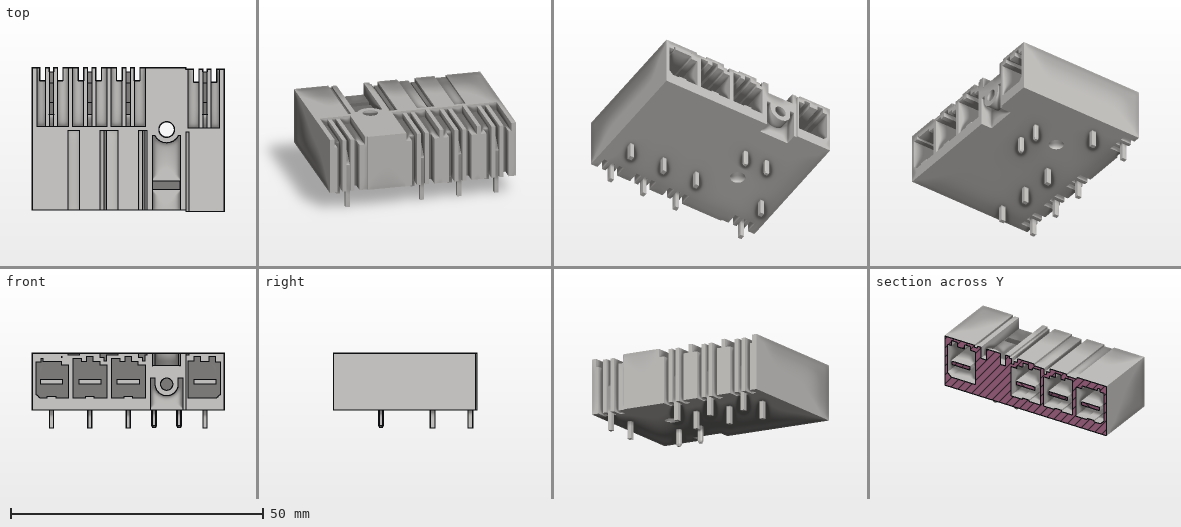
import cadquery as cq
import math

LENGTH = 38.1
DEPTH = 28.25
HEIGHT = 11.3
PITCH = 7.62
SHIFT = 0.3
END_X = 4 * PITCH
MAIN_POLES = (0, 1, 2)
END_POLE = 4
FLANGE_X = 3.5 * PITCH

CAVITY_DEPTH = 15.25
CAVITY_FLOOR = 2.4
CAVITY_SHOULDER = 8.95
CAVITY_CEILING = 9.65
CAVITY_RAISED = 10.2
KEYWAY_TOP = 10.63
CAVITY_RIGHT = 7.2
SHOULDER_X = 5.8
CORNER = 0.8
RIDGE_LEFT = 2.97
RIDGE_RIGHT = 4.7
RIDGE_TOP = 2.7

GROOVE_LENGTH = 15.77
GROOVE_SHALLOW = 10.9
GROOVE_STEP = 10.48
GROOVE_DEEP = 9.75
GROOVE_LEFT = 5.83
GROOVE_DEEP_LEFT = 6.63
GROOVE_WING_LEFT = 7.1
WIDE_WING_RIGHT = 9.4
NARROW_WING_RIGHT = 7.55
END_GROOVE_WIDTH = 0.57

MARK_SIZE = 0.1
MARK_DEPTH = 0.4

BAY_LENGTH = 11.62
BAY_FLOOR = 9.6
BAY_LEFT = 0.42
BAY_RIGHT = 7.25
FIRST_BAY_LEFT = 1.0
LAST_BAY_RIGHT = 6.65
NOTCH_HALF_WIDTH = 2.3
NOTCH_LENGTH = 2.55
FIN_HALF_SPAN = 1.22
FIN_TOP = 10.95

CONTACT_THICKNESS = 0.85
BLADE_WIDTH = 4.4
BLADE_TIP = 5.35
BLADE_BOTTOM = 5.22
BLADE_TOP = 6.1
PLATE_BOTTOM = 2.4
PLATE_TOP = 7.62
PLATE_REAR = DEPTH - 0.85
PLATE_FRONT = DEPTH - 9.35
PLATE_STEP = DEPTH - 6.95
PLATE_BEVEL = 2.25
PIN_WIDTH = 1.0
PIN_BOTTOM = -3.6

POCKET_HALF_WIDTH = 2.8
POCKET_FLOOR = 8.8
POCKET_BACK = 14.75
SCREW_HOLE_Y = 15.95
SCREW_HOLE_DIAMETER = 3.05
SCREW_BOSS_RADIUS = 2.63
NUT_SLOT_FRONT = 4.1
NUT_SLOT_BACK = 5.7
NUT_SLOT_FLOOR = 2.85
NUT_SLOT_GAP = 0.15
RECESS_HALF_WIDTH = 3.2
RECESS_DEPTH = 2.45
RECESS_TOP = 6.35
FRONT_HOLE_Z = 5.15
FRONT_HOLE_DIAMETER = 2.45
FRONT_BOSS_RADIUS = 2.3

ANCHOR_WIDTH = 1.0
ANCHOR_EDGE_BEVEL = 0.2
ANCHOR_TIP_INSET = 0.2
ANCHOR_TIP_LENGTH = 0.42
ANCHOR_BOTTOM = -3.43
ANCHOR_EMBED = 1.9
ANCHOR_OFFSET = 2.48
ANCHOR_Y = 9.15


def block(x0, x1, y0, y1, z0, z1):
    """Box between two opposite corners."""
    return cq.Workplane("XY").box(x1 - x0, y1 - y0, z1 - z0, centered=False).translate((x0, y0, z0))


def front_prism(points, y0, y1):
    """Prism along +Y from an outline of (x, z) points."""
    return cq.Workplane("XZ", origin=(0, y0, 0)).polyline(points).close().extrude(y0 - y1)


def pole_front(pole):
    """Y of the housing front at a pole."""
    return -SHIFT if pole == END_POLE else 0.0


def floor_ridge():
    """Floor outline points from right to left over the guide ridge."""
    return [
        (CAVITY_RIGHT, CAVITY_FLOOR),
        (RIDGE_RIGHT, CAVITY_FLOOR),
        (RIDGE_RIGHT, RIDGE_TOP),
        (RIDGE_LEFT, RIDGE_TOP),
        (RIDGE_LEFT, CAVITY_FLOOR),
    ]


def right_shoulder():
    """Ceiling outline points from the ceiling down to the low right shoulder."""
    return [
        (SHOULDER_X, CAVITY_CEILING),
        (SHOULDER_X, CAVITY_SHOULDER),
        (CAVITY_RIGHT, CAVITY_SHOULDER),
    ]


def first_cavity_outline():
    left = 0.72
    slit_left, slit_right = 1.7, 2.15
    left_ceiling = 9.52
    return [
        (left, left_ceiling),
        (slit_left, left_ceiling),
        (slit_left, CAVITY_RAISED),
        (slit_right, CAVITY_RAISED),
        (slit_right, CAVITY_CEILING),
        *right_shoulder(),
        *floor_ridge(),
        (left + CORNER, CAVITY_FLOOR),
        (left, CAVITY_FLOOR + CORNER),
    ]


def middle_cavity_outline():
    left = 0.45
    raised_right = 2.15
    key_left, key_right = 3.15, 4.42
    return [
        (left, CAVITY_RAISED),
        (raised_right, CAVITY_RAISED),
        (raised_right, CAVITY_CEILING),
        (key_left, CAVITY_CEILING),
        (key_left, KEYWAY_TOP),
        (key_right, KEYWAY_TOP),
        (key_right, CAVITY_CEILING),
        *right_shoulder(),
        *floor_ridge(),
        (left, CAVITY_FLOOR),
    ]


def end_cavity_outline():
    left, right = 0.4, 6.9
    left_ceiling, right_ceiling = 9.75, 9.52
    first_key_left, first_key_right = 1.65, 2.95
    second_key_left, second_key_right = 4.6, 5.9
    return [
        (left, left_ceiling),
        (first_key_left, left_ceiling),
        (first_key_left, KEYWAY_TOP),
        (first_key_right, KEYWAY_TOP),
        (first_key_right, CAVITY_CEILING),
        (second_key_left, CAVITY_CEILING),
        (second_key_left, KEYWAY_TOP),
        (second_key_right, KEYWAY_TOP),
        (second_key_right, right_ceiling),
        (right, right_ceiling),
        (right, CAVITY_FLOOR + CORNER),
        (right - CORNER, CAVITY_FLOOR),
        (left, CAVITY_FLOOR),
    ]


def cavity(pole):
    """Space for the plug at one pole."""
    if pole == 0:
        outline = first_cavity_outline()
    elif pole == END_POLE:
        outline = end_cavity_outline()
    else:
        outline = middle_cavity_outline()
    front = pole_front(pole)
    return front_prism(outline, front, front + CAVITY_DEPTH).translate((pole * PITCH, 0, 0))


def stepped_groove(wing_right):
    """Top groove between two poles with a stepped, deeper left part."""
    outline = [
        (GROOVE_LEFT, HEIGHT),
        (GROOVE_LEFT, GROOVE_STEP),
        (GROOVE_DEEP_LEFT, GROOVE_STEP),
        (GROOVE_DEEP_LEFT, GROOVE_DEEP),
        (GROOVE_WING_LEFT, GROOVE_DEEP),
        (GROOVE_WING_LEFT, GROOVE_SHALLOW),
        (wing_right, GROOVE_SHALLOW),
        (wing_right, HEIGHT),
    ]
    return front_prism(outline, 0, GROOVE_LENGTH)


def top_grooves():
    plain = block(GROOVE_WING_LEFT, WIDE_WING_RIGHT, 0, GROOVE_LENGTH, GROOVE_SHALLOW, HEIGHT)
    second = stepped_groove(WIDE_WING_RIGHT).translate((PITCH, 0, 0))
    third = stepped_groove(NARROW_WING_RIGHT).translate((2 * PITCH, 0, 0))
    end = block(END_X, END_X + END_GROOVE_WIDTH, -SHIFT, GROOVE_LENGTH - SHIFT, GROOVE_SHALLOW, HEIGHT)
    return [plain, second, third, end]


def front_mark():
    """Tiny square pit level with the step of the grooves."""
    right = GROOVE_LEFT + MARK_SIZE
    return block(GROOVE_LEFT, right, 0, MARK_DEPTH, GROOVE_STEP, GROOVE_STEP + MARK_SIZE)


def rear_bay(pole):
    """Space of one rear bay and its notch, less the pair of fins."""
    centre = PITCH / 2
    back = pole_front(pole) + DEPTH
    left = FIRST_BAY_LEFT if pole == 0 else BAY_LEFT
    right = LAST_BAY_RIGHT if pole == END_POLE else BAY_RIGHT
    bay = block(left, right, back - BAY_LENGTH, back, BAY_FLOOR, HEIGHT)
    notch = block(centre - NOTCH_HALF_WIDTH, centre + NOTCH_HALF_WIDTH, back - NOTCH_LENGTH, back, 0, HEIGHT)
    fins = block(centre - FIN_HALF_SPAN, centre + FIN_HALF_SPAN, back - BAY_LENGTH, back, 0, FIN_TOP)
    half_gap = CONTACT_THICKNESS / 2
    gap = block(centre - half_gap, centre + half_gap, back - BAY_LENGTH, back, BAY_FLOOR, HEIGHT)
    rear_gap = block(centre - half_gap, centre + half_gap, back - NOTCH_LENGTH, back, 0, HEIGHT)
    plate_slot = block(centre - half_gap, centre + half_gap, PLATE_FRONT, back, PLATE_BOTTOM, HEIGHT)
    space = bay.union(notch).cut(fins).union(gap).union(rear_gap).union(plate_slot)
    return space.translate((pole * PITCH, 0, 0))


def contact(pole):
    """Blade, upright plate and two solder pins of one pole."""
    centre = (pole + 0.5) * PITCH
    half = CONTACT_THICKNESS / 2
    half_blade = BLADE_WIDTH / 2
    blade = block(
        centre - half_blade, centre + half_blade, BLADE_TIP, PLATE_FRONT, BLADE_BOTTOM, BLADE_TOP
    )
    outline = [
        (PLATE_FRONT, BLADE_TOP),
        (PLATE_STEP, BLADE_TOP),
        (PLATE_STEP, PLATE_TOP),
        (PLATE_REAR - PLATE_BEVEL, PLATE_TOP),
        (PLATE_REAR, PLATE_TOP - PLATE_BEVEL),
        (PLATE_REAR, PIN_BOTTOM),
        (PLATE_REAR - PIN_WIDTH, PIN_BOTTOM),
        (PLATE_REAR - PIN_WIDTH, PLATE_BOTTOM),
        (PLATE_FRONT + PIN_WIDTH, PLATE_BOTTOM),
        (PLATE_FRONT + PIN_WIDTH, PIN_BOTTOM),
        (PLATE_FRONT, PIN_BOTTOM),
    ]
    plate = cq.Workplane("YZ", origin=(centre - half, 0, 0)).polyline(outline).close()
    return plate.extrude(CONTACT_THICKNESS).union(blade)


def anchor(x):
    """Solder anchor: a square pin with bevelled edges and a tapered tip."""
    half = ANCHOR_WIDTH / 2
    flat = half - ANCHOR_EDGE_BEVEL
    outline = [
        (-flat, -half),
        (flat, -half),
        (half, -flat),
        (half, flat),
        (flat, half),
        (-flat, half),
        (-half, flat),
        (-half, -flat),
    ]
    shoulder = ANCHOR_BOTTOM + ANCHOR_TIP_LENGTH
    section = cq.Workplane("XY", origin=(x, ANCHOR_Y, shoulder)).polyline(outline).close()
    bar = section.extrude(ANCHOR_EMBED - shoulder)
    tip_base = bar.faces("<Z").workplane().add(bar.faces("<Z").wires()).toPending()
    taper = math.degrees(math.atan(ANCHOR_TIP_INSET / ANCHOR_TIP_LENGTH))
    return tip_base.extrude(ANCHOR_TIP_LENGTH, taper=taper)


def top_pocket():
    """Open pocket above the screw, around the boss of the vertical hole."""
    left = FLANGE_X - POCKET_HALF_WIDTH
    right = FLANGE_X + POCKET_HALF_WIDTH
    boss = (
        cq.Workplane("XY", origin=(FLANGE_X, SCREW_HOLE_Y, POCKET_FLOOR))
        .circle(SCREW_BOSS_RADIUS)
        .extrude(HEIGHT - POCKET_FLOOR)
    )
    pocket = block(left, right, 0, POCKET_BACK, POCKET_FLOOR, HEIGHT).cut(boss)
    nut_slot = block(left, right - NUT_SLOT_GAP, NUT_SLOT_FRONT, NUT_SLOT_BACK, NUT_SLOT_FLOOR, HEIGHT)
    return pocket.union(nut_slot)


def front_recess():
    """Recess in the flange front, open below, around a boss with a round underside."""
    recess = block(
        FLANGE_X - RECESS_HALF_WIDTH, FLANGE_X + RECESS_HALF_WIDTH, 0, RECESS_DEPTH, 0, RECESS_TOP
    )
    boss = (
        cq.Workplane("XZ", origin=(FLANGE_X, 0, 0))
        .moveTo(-FRONT_BOSS_RADIUS, RECESS_TOP)
        .lineTo(-FRONT_BOSS_RADIUS, FRONT_HOLE_Z)
        .threePointArc((0, FRONT_HOLE_Z - FRONT_BOSS_RADIUS), (FRONT_BOSS_RADIUS, FRONT_HOLE_Z))
        .lineTo(FRONT_BOSS_RADIUS, RECESS_TOP)
        .close()
        .extrude(-RECESS_DEPTH)
    )
    return recess.cut(boss)


def flange_holes():
    """Vertical through hole and the front hole that runs into the nut slot."""
    vertical = (
        cq.Workplane("XY", origin=(FLANGE_X, SCREW_HOLE_Y, 0))
        .circle(SCREW_HOLE_DIAMETER / 2)
        .extrude(HEIGHT)
    )
    front = (
        cq.Workplane("XZ", origin=(FLANGE_X, 0, FRONT_HOLE_Z))
        .circle(FRONT_HOLE_DIAMETER / 2)
        .extrude(-NUT_SLOT_BACK)
    )
    return [vertical, front]


poles = [*MAIN_POLES, END_POLE]
contacts = [contact(pole) for pole in poles]
anchors = [anchor(FLANGE_X + side * ANCHOR_OFFSET) for side in (-1, 1)]

housing = block(0, END_X, 0, DEPTH, 0, HEIGHT)
housing = housing.union(block(END_X, LENGTH, -SHIFT, DEPTH - SHIFT, 0, HEIGHT))
for space in [*top_grooves(), front_mark(), top_pocket(), front_recess(), *flange_holes()]:
    housing = housing.cut(space)
for pole in poles:
    housing = housing.cut(cavity(pole)).cut(rear_bay(pole))
for insert in [*contacts, *anchors]:
    housing = housing.cut(insert)

bodies = [housing, *contacts, *anchors]
result = cq.Compound.makeCompound([body.val() for body in bodies])